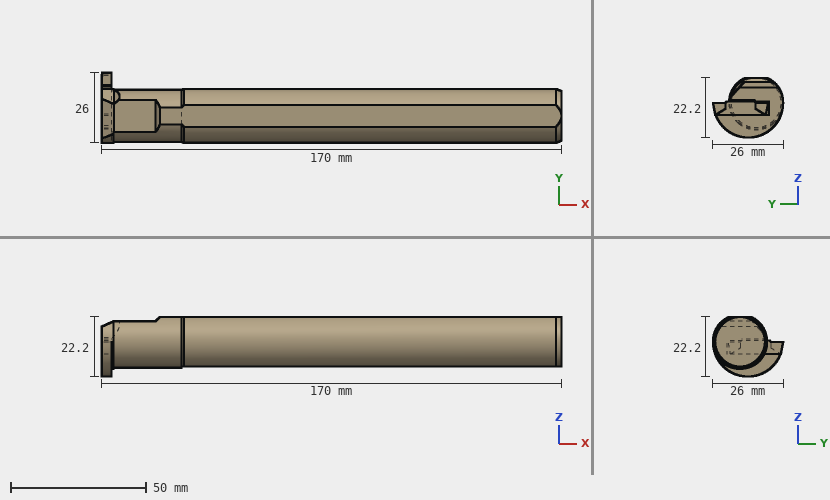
import cadquery as cq

BAR_LENGTH = 170.0
SHANK_RADIUS = 10.0
NECK_RADIUS = 9.7
FLAT_HEIGHT = 9.2
COLLAR_END = 4.5
NECK_END = 29.5
NECK_TAPER = 0.8
END_CHAMFER_LENGTH = 2.0
END_CHAMFER_DEPTH = 0.8

HEAD_RADIUS = 13.0
HEAD_THICKNESS = 3.7
HEAD_CENTER_Y = HEAD_RADIUS - SHANK_RADIUS

NECK_FLAT_HEIGHT = 7.6
NOSE_HEIGHT = 5.6
NOSE_LENGTH = 4.6
NECK_FLAT_END = 19.9
NECK_RAMP_END = 21.6

CLEARANCE_TOP_Y = 4.5
CLEARANCE_FOOT_Y = 11.4
CLEARANCE_RUNOUT = 1.6

INSERT_TIP_Y = 16.0
INSERT_DEPTH = 4.6
INSERT_END_DRAFT = 0.8
INSERT_MIDDLE_Y = 5.8
RIDGE_HALF_LENGTH = CLEARANCE_FOOT_Y - INSERT_MIDDLE_Y
RIDGE_HEIGHT = 0.5
RIDGE_SLOPE = 0.5
INSERT_HALF_LENGTH = INSERT_TIP_Y - INSERT_MIDDLE_Y
RELIEF_DEPTH = 0.2
RELIEF_HEIGHT = 2.2
POCKET_CLEARANCE = 0.42

CUT_MARGIN = 8.5


def cross_section(points):
    """Closed (Y, Z) outline at the cutting face, X = 0."""
    return cq.Workplane("YZ").polyline(points).close()


def make_turned_bar():
    end_radius = SHANK_RADIUS - END_CHAMFER_DEPTH
    profile = [
        (0, 0),
        (0, SHANK_RADIUS),
        (COLLAR_END, SHANK_RADIUS),
        (COLLAR_END, NECK_RADIUS),
        (NECK_END, NECK_RADIUS),
        (NECK_END + NECK_TAPER, SHANK_RADIUS),
        (BAR_LENGTH - END_CHAMFER_LENGTH, SHANK_RADIUS),
        (BAR_LENGTH, end_radius),
        (BAR_LENGTH, 0),
    ]
    return cq.Workplane("XY").polyline(profile).close().revolve(360, (0, 0, 0), (1, 0, 0))


def make_head():
    """Lower half of the eccentric disc that carries the insert."""
    head = cq.Workplane("YZ").center(HEAD_CENTER_Y, 0).circle(HEAD_RADIUS).extrude(HEAD_THICKNESS)
    lower_half = cq.Workplane("XY").box(
        2 * HEAD_THICKNESS, 4 * HEAD_RADIUS, 2 * HEAD_RADIUS, centered=(True, True, False)
    ).translate((0, 0, -2 * HEAD_RADIUS))
    return head.intersect(lower_half)


def make_top_cut():
    """Nose slope, neck flat, ramp and upper shank flat in one side profile."""
    above = SHANK_RADIUS + CUT_MARGIN
    profile = (
        cq.Workplane("XZ")
        .moveTo(0, NOSE_HEIGHT)
        .lineTo(NOSE_LENGTH, NECK_FLAT_HEIGHT)
        .lineTo(NECK_FLAT_END, NECK_FLAT_HEIGHT)
        .lineTo(NECK_RAMP_END, FLAT_HEIGHT)
        .lineTo(BAR_LENGTH, FLAT_HEIGHT)
        .lineTo(BAR_LENGTH, above)
        .lineTo(0, above)
        .close()
    )
    return profile.extrude(2 * SHANK_RADIUS, both=True)


def make_bottom_cut():
    return cq.Workplane("XY").box(
        BAR_LENGTH - NECK_END, 4 * SHANK_RADIUS, CUT_MARGIN, centered=(False, True, False)
    ).translate((NECK_END, 0, -FLAT_HEIGHT - CUT_MARGIN))


def make_clearance_cut():
    """Wedge beside the tip with a ramp running out of the neck behind it."""
    foot = cq.Vector(0, CLEARANCE_FOOT_Y, 0)
    top = cq.Vector(0, CLEARANCE_TOP_Y, NECK_FLAT_HEIGHT)
    along_face = (top - foot).normalized()
    plane = cq.Plane(origin=foot, xDir=(1, 0, 0), normal=along_face)
    run_out = CUT_MARGIN * CLEARANCE_RUNOUT
    profile = [
        (0, 0),
        (NOSE_LENGTH, 0),
        (NOSE_LENGTH + run_out, CUT_MARGIN),
        (0, CUT_MARGIN),
    ]
    cut_length = (top - foot).Length + CUT_MARGIN
    return cq.Workplane(plane).polyline(profile).close().extrude(cut_length)


def make_pocket():
    """Seat for the insert, with clearance above and behind it."""
    back_y = INSERT_MIDDLE_Y - INSERT_HALF_LENGTH - POCKET_CLEARANCE
    step_y = INSERT_MIDDLE_Y - RIDGE_HALF_LENGTH
    outer_y = INSERT_TIP_Y + CUT_MARGIN
    ridge_roof = RIDGE_HEIGHT + POCKET_CLEARANCE
    outline = [
        (back_y, -INSERT_DEPTH),
        (back_y, POCKET_CLEARANCE),
        (step_y, POCKET_CLEARANCE),
        (step_y + RIDGE_SLOPE, ridge_roof),
        (outer_y, ridge_roof),
        (outer_y, -INSERT_DEPTH),
    ]
    return cross_section(outline).extrude(HEAD_THICKNESS)


def make_tip_relief(side):
    """Shallow relief on the front of one tip; side is +1 or -1 along Y."""
    tip_y = INSERT_MIDDLE_Y + side * INSERT_HALF_LENGTH
    inner_y = INSERT_MIDDLE_Y + side * RIDGE_HALF_LENGTH
    outline = [
        (inner_y, 0),
        (inner_y, -RELIEF_HEIGHT),
        (tip_y - side * INSERT_END_DRAFT, -INSERT_DEPTH),
        (tip_y, 0),
    ]
    return cross_section(outline).extrude(RELIEF_DEPTH)


def make_insert():
    base_half_length = INSERT_HALF_LENGTH - INSERT_END_DRAFT
    ridge_top_half_length = RIDGE_HALF_LENGTH - RIDGE_SLOPE
    half_outline = [
        (base_half_length, -INSERT_DEPTH),
        (INSERT_HALF_LENGTH, 0),
        (RIDGE_HALF_LENGTH, 0),
        (ridge_top_half_length, RIDGE_HEIGHT),
    ]
    outer = [(INSERT_MIDDLE_Y + y, z) for y, z in half_outline]
    inner = [(INSERT_MIDDLE_Y - y, z) for y, z in reversed(half_outline)]
    insert = cross_section(outer + inner).extrude(HEAD_THICKNESS)
    for side in (1, -1):
        insert = insert.cut(make_tip_relief(side))
    return insert


def make_holder():
    holder = make_turned_bar().union(make_head())
    for cut in (make_top_cut(), make_bottom_cut(), make_clearance_cut(), make_pocket()):
        holder = holder.cut(cut)
    return holder


holder = make_holder()
insert = make_insert()

result = cq.Compound.makeCompound([holder.solids().val(), insert.solids().val()])